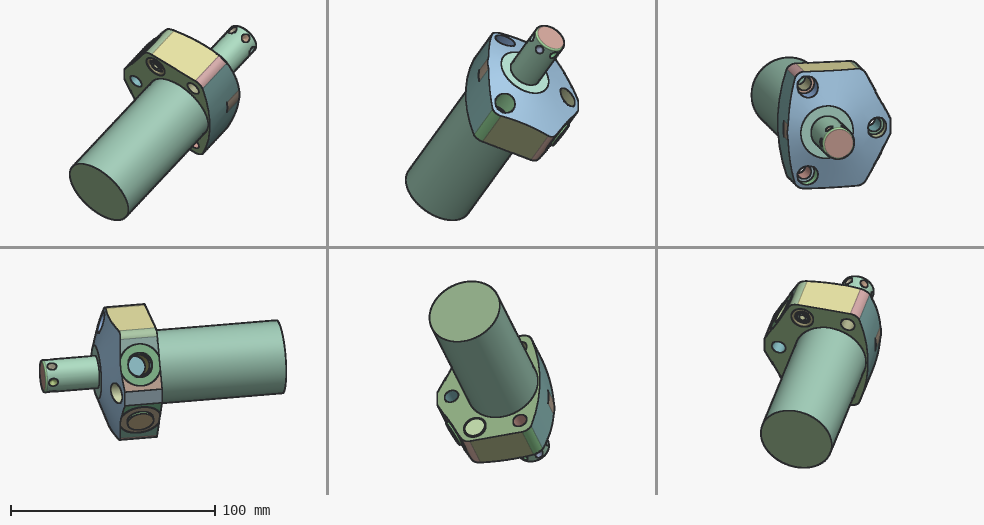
import cadquery as cq
import math


body_radius = 18.0
body_length = 65.0
flange_thickness = 26.25
rod_radius = 8.0
rod_length = 26.85
rod_edge_radius = 0.85

half_height = 29.3
nose_x = -33.5
nose_half_height = 3.7
slope_angle = 62.0
nose_corner_radius = 5.0
bulge_x = 19.0
bulge_edge_x = 14.5
bulge_corner_radius = 5.5
bulge_corner_start_x = 9.85

cone_top_radius = 13.1
cone_angle = 20.5
cone_outer_radius = 45.0

housing_radius = 19.33
housing_start = 14.0

mount_hole_diameter = 7.0
counterbore_diameter = 10.0
counterbore_floor = 14.0
mount_holes = [(-26.2, 0.0), (8.75, 22.15), (8.75, -22.15)]

port_y = 9.75
port_z = 14.9
spotface_radius = 10.3
spotface_depth = 0.25
port_radius = 6.05
port_entry_depth = 3.4
port_cone_depth = 0.75
port_bore_radius = 5.3
port_depth = 16.7
plug_radius = 6.5
plug_height = 1.35

face_port_x = -14.3
face_port_z = 21.3
face_port_radius = 5.6
seat_depth = 1.5
ring_section_radius = 0.95
ring_seating = 0.1
ring_protrusion = 0.35
hub_radius = 3.05
hub_top = 0.3
hub_chamfer = 0.35
oil_hole_radius = 1.65
oil_hole_depth = 6.0
face_plug_chamfer = 0.5

socket_count = 6
socket_radius = 2.3
socket_tip_distance = 3.95
socket_depth = 2.3

slope_sin = math.sin(math.radians(slope_angle))
slope_cos = math.cos(math.radians(slope_angle))
slope_tan = slope_sin / slope_cos
rod_tip = flange_thickness + rod_length


def cylinder(radius, start, end, x=0.0, z=0.0):
    """Cylinder parallel to Y between two Y positions."""
    base = cq.Vector(x, start, z)
    return cq.Workplane(cq.Solid.makeCylinder(radius, end - start, base, cq.Vector(0, 1, 0)))


def cone(base_radius, end_radius, start, end, x=0.0, z=0.0):
    """Cone parallel to Y between two Y positions."""
    base = cq.Vector(x, start, z)
    axis = cq.Vector(0, 1, 0)
    return cq.Workplane(cq.Solid.makeCone(base_radius, end_radius, end - start, base, axis))


def make_flange():
    top_left_x = nose_x + (half_height - nose_half_height) / slope_tan
    corner_center_z = half_height - bulge_corner_radius
    corner_angle = math.asin((bulge_edge_x - bulge_corner_start_x) / bulge_corner_radius)
    corner_mid_x = bulge_corner_start_x + bulge_corner_radius * math.sin(corner_angle / 2)
    corner_mid_z = corner_center_z + bulge_corner_radius * math.cos(corner_angle / 2)
    bulge_edge_z = corner_center_z + bulge_corner_radius * math.cos(corner_angle)
    plate = (
        cq.Workplane("XZ")
        .moveTo(nose_x, -nose_half_height)
        .lineTo(nose_x, nose_half_height)
        .lineTo(top_left_x, half_height)
        .lineTo(bulge_corner_start_x, half_height)
        .threePointArc((corner_mid_x, corner_mid_z), (bulge_edge_x, bulge_edge_z))
        .threePointArc((bulge_x, 0), (bulge_edge_x, -bulge_edge_z))
        .threePointArc((corner_mid_x, -corner_mid_z), (bulge_corner_start_x, -half_height))
        .lineTo(top_left_x, -half_height)
        .close()
        .extrude(-flange_thickness)
    )
    for z in (half_height, -half_height):
        corner = cq.selectors.NearestToPointSelector((top_left_x, flange_thickness / 2, z))
        plate = plate.edges("|Y").edges(corner).fillet(nose_corner_radius)
    plate = plate.union(cylinder(housing_radius, housing_start, flange_thickness))

    cone_height = (cone_outer_radius - cone_top_radius) * math.tan(math.radians(cone_angle))
    cone_start = flange_thickness - cone_height
    envelope = cylinder(cone_outer_radius, 0, cone_start).union(
        cone(cone_outer_radius, cone_top_radius, cone_start, flange_thickness)
    )
    return plate.intersect(envelope)


def make_rod():
    rod = cylinder(rod_radius, flange_thickness, rod_tip)
    rod = rod.faces(">Y").edges().fillet(rod_edge_radius)
    socket_y = rod_tip - socket_tip_distance
    overshoot = 0.5 * socket_depth
    mouth_radius = socket_radius * (socket_depth + overshoot) / socket_depth
    for i in range(socket_count):
        angle = 2 * math.pi * i / socket_count
        outward = cq.Vector(math.cos(angle), 0, math.sin(angle))
        start = outward * (rod_radius + overshoot) + cq.Vector(0, socket_y, 0)
        socket = cq.Solid.makeCone(mouth_radius, 0, socket_depth + overshoot, start, outward * -1)
        rod = rod.cut(cq.Workplane(socket))
    return rod


def side_port_plane(side):
    """Plane on a sloping side, normal outwards; side is +1 (upper) or -1 (lower)."""
    x = nose_x + (port_z - nose_half_height) / slope_tan
    return cq.Plane(
        origin=(x, port_y, side * port_z),
        xDir=(0, 1, 0),
        normal=(-slope_sin, 0, side * slope_cos),
    )


def cut_spotface(part, side):
    plane = side_port_plane(side)
    return part.cut(cq.Workplane(plane).circle(spotface_radius).extrude(-spotface_depth))


def cut_side_port(part):
    profile = [
        (0, 0),
        (port_radius, 0),
        (port_radius, -port_entry_depth),
        (port_bore_radius, -port_entry_depth - port_cone_depth),
        (port_bore_radius, -port_depth),
        (0, -port_depth),
    ]
    plane = side_port_plane(1)
    section_plane = cq.Plane(origin=plane.origin, xDir=plane.xDir, normal=plane.xDir.cross(plane.zDir))
    port = cq.Workplane(section_plane).polyline(profile).close().revolve(360, (0, 0), (0, 1))
    return part.cut(port)


def add_side_plug(part):
    plug = (
        cq.Workplane(side_port_plane(-1))
        .workplane(offset=-spotface_depth)
        .circle(plug_radius)
        .extrude(plug_height)
    )
    return part.union(plug)


def add_sealed_face_port(part):
    """Oil hole through a hub, inside a seal ring that stands proud of the mounting face."""
    x, z = face_port_x, face_port_z
    part = part.cut(cylinder(face_port_radius, 0, seat_depth, x, z))
    chamfer_end = hub_top + hub_chamfer
    hub = cylinder(hub_radius, chamfer_end, seat_depth, x, z).union(
        cone(hub_radius - hub_chamfer, hub_radius, hub_top, chamfer_end, x, z)
    )
    part = part.union(hub)
    part = part.cut(cylinder(oil_hole_radius, 0, oil_hole_depth, x, z))
    ring_center_y = ring_section_radius - ring_protrusion
    ring = cq.Solid.makeTorus(
        face_port_radius + ring_seating - ring_section_radius,
        ring_section_radius,
        cq.Vector(x, ring_center_y, z),
        cq.Vector(0, 1, 0),
    )
    return part.union(cq.Workplane(ring))


def cut_face_plug_chamfer(part):
    """Chamfered rim of the plug that closes the lower face port flush."""
    x, z = face_port_x, -face_port_z
    rim = cylinder(face_port_radius, 0, face_plug_chamfer, x, z)
    plug = cone(face_port_radius - face_plug_chamfer, face_port_radius, 0, face_plug_chamfer, x, z)
    return part.cut(rim.cut(plug))


def cut_mount_holes(part):
    for x, z in mount_holes:
        part = part.cut(cylinder(mount_hole_diameter / 2, 0, flange_thickness, x, z))
        counterbore = cylinder(counterbore_diameter / 2, counterbore_floor, flange_thickness, x, z)
        part = part.cut(counterbore)
    return part


flange = cut_mount_holes(make_flange())
for side in (1, -1):
    flange = cut_spotface(flange, side)
flange = cut_side_port(flange)
flange = add_side_plug(flange)
flange = add_sealed_face_port(flange)
flange = cut_face_plug_chamfer(flange)

body = cylinder(body_radius, -body_length, 0)
result = flange.union(body).union(make_rod())